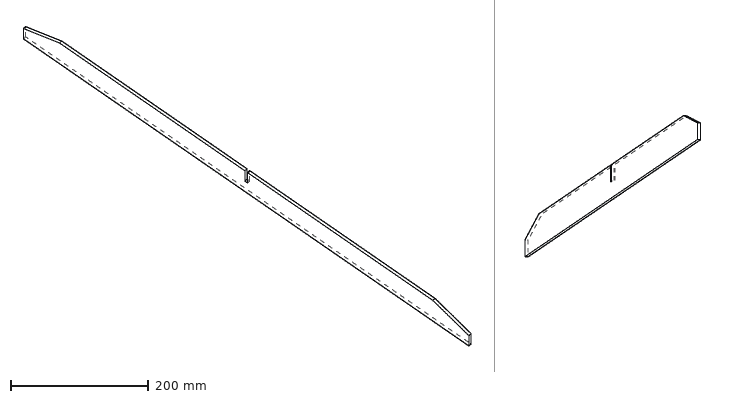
import cadquery as cq

length = 860.0
thickness = 5.0
height = 50.0
end_height = height / 2
slope_length = 70.0

slot_width = thickness
slot_depth = height / 2

half_length = length / 2
half_top = half_length - slope_length
half_slot = slot_width / 2
slot_floor = height - slot_depth

outline = [
    (-half_length, 0),
    (half_length, 0),
    (half_length, end_height),
    (half_top, height),
    (half_slot, height),
    (half_slot, slot_floor),
    (-half_slot, slot_floor),
    (-half_slot, height),
    (-half_top, height),
    (-half_length, end_height),
]

result = cq.Workplane("XZ").polyline(outline).close().extrude(thickness / 2, both=True)